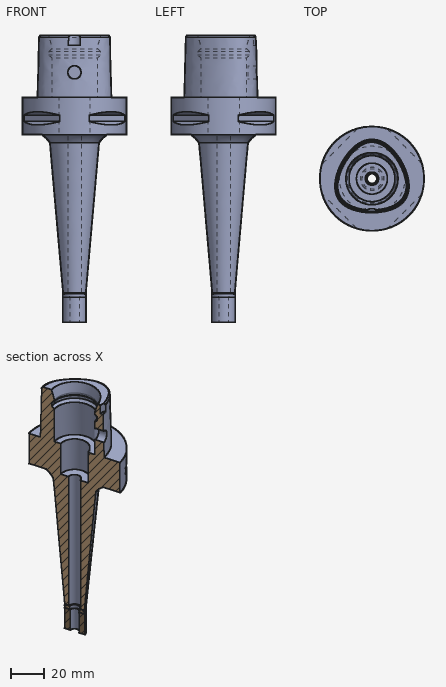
import cadquery as cq
import math

TOTAL_HEIGHT = 173.0
FLANGE_TOP_Z = 135.5
FLANGE_BOTTOM_Z = 113.0
STEM_BOTTOM_Z = 17.6
COLLAR_TOP_Z = 17.1
TIP_TOP_Z = 15.0

SHANK_BASE_RADIUS = 22.1
SHANK_TAPER = 1 / 40
LOBE_HEIGHT = 1.5
PROFILE_POINTS = 24
RIM_CHAMFER_HEIGHT = 1.4
RIM_CHAMFER_WIDTH = 0.9

FLANGE_RADIUS = 31.5
NECK_HEIGHT = 4.8
NECK_TOP_RADIUS = 19.7
NECK_SAG = 0.3
STEM_TOP_RADIUS = 14.9
STEM_BOTTOM_RADIUS = 7.0

SLOT_COUNT = 4
SLOT_Z = 122.8
SLOT_FLOOR_DISTANCE = 27.7
SLOT_FLOOR_HEIGHT = 3.8
SLOT_MOUTH_HEIGHT = 8.0

MOUTH_RADIUS = 15.7
BORE_RADIUS = 13.8
MOUTH_DEPTH = 6.5
LIP_DEPTH = 8.1
GROOVE_RADIUS = 15.5
GROOVE_DEPTH = 12.0
THREAD_RADIUS = 9.3
COOLANT_RADIUS = 4.0

NOTCH_RADIUS = 4.8
NOTCH_DEPTH = 6.0
NOTCH_CENTRE_Y = -22.8
SIDE_HOLE_RADIUS = 4.0
SIDE_HOLE_Z = 150.5
SIDE_HOLE_FLOOR_Y = -14.5

COLLAR_RADIUS = 7.1
TIP_RADIUS = COLLAR_RADIUS
COLLAR_NECK_RADIUS = 6.0
COLLAR_HOLE_RADIUS = 3.3
TIP_HOLE_RADIUS = 3.0


def lobed_wire(mean_radius, z):
    """Closed three-lobed curve (a trochoid) with one lobe on +Y and one flat side on -Y."""

    def point(angle):
        x = mean_radius * math.sin(angle) + LOBE_HEIGHT * math.sin(2 * angle)
        y = LOBE_HEIGHT * math.cos(2 * angle) - mean_radius * math.cos(angle)
        return cq.Vector(x, y, z)

    points = [point(2 * math.pi * i / PROFILE_POINTS) for i in range(PROFILE_POINTS)]
    return cq.Wire.assembleEdges([cq.Edge.makeSpline(points, periodic=True)])


def polygon_shank():
    chamfer_z = TOTAL_HEIGHT - RIM_CHAMFER_HEIGHT
    chamfer_radius = SHANK_BASE_RADIUS - SHANK_TAPER * (chamfer_z - FLANGE_TOP_Z)
    rim_radius = chamfer_radius - RIM_CHAMFER_WIDTH
    base = lobed_wire(SHANK_BASE_RADIUS, FLANGE_TOP_Z)
    shoulder = lobed_wire(chamfer_radius, chamfer_z)
    rim = lobed_wire(rim_radius, TOTAL_HEIGHT)
    cone = cq.Solid.makeLoft([base, shoulder], True)
    chamfer = cq.Solid.makeLoft([shoulder, rim], True)
    return cq.Workplane(cone).union(cq.Workplane(chamfer))


def flange_and_stem():
    neck_z = FLANGE_BOTTOM_Z - NECK_HEIGHT
    neck_start = (STEM_TOP_RADIUS, neck_z)
    neck_end = (NECK_TOP_RADIUS, FLANGE_BOTTOM_Z)
    return (
        cq.Workplane("XZ")
        .moveTo(0, STEM_BOTTOM_Z)
        .lineTo(STEM_BOTTOM_RADIUS, STEM_BOTTOM_Z)
        .lineTo(*neck_start)
        .sagittaArc(neck_end, NECK_SAG)
        .lineTo(FLANGE_RADIUS, FLANGE_BOTTOM_Z)
        .lineTo(FLANGE_RADIUS, FLANGE_TOP_Z)
        .lineTo(0, FLANGE_TOP_Z)
        .close()
        .revolve(360, (0, 0, 0), (0, 1, 0))
    )


def bore():
    """Mouth cone, lip, undercut groove, thread hole and coolant hole, all on the Z axis."""
    groove_cone = GROOVE_RADIUS - BORE_RADIUS
    profile = [
        (0, TOTAL_HEIGHT),
        (MOUTH_RADIUS, TOTAL_HEIGHT),
        (BORE_RADIUS, TOTAL_HEIGHT - MOUTH_DEPTH),
        (BORE_RADIUS, TOTAL_HEIGHT - LIP_DEPTH),
        (GROOVE_RADIUS, TOTAL_HEIGHT - LIP_DEPTH - groove_cone),
        (GROOVE_RADIUS, TOTAL_HEIGHT - GROOVE_DEPTH),
        (BORE_RADIUS, TOTAL_HEIGHT - GROOVE_DEPTH - groove_cone),
        (BORE_RADIUS, FLANGE_TOP_Z),
        (THREAD_RADIUS, FLANGE_TOP_Z),
        (THREAD_RADIUS, FLANGE_BOTTOM_Z),
        (COOLANT_RADIUS, FLANGE_BOTTOM_Z),
        (COOLANT_RADIUS, STEM_BOTTOM_Z),
        (0, STEM_BOTTOM_Z),
    ]
    return cq.Workplane("XZ").polyline(profile).close().revolve(360, (0, 0, 0), (0, 1, 0))


def gripper_slot(angle):
    """Trapezoidal slot with a flat floor, cut across the flange rim."""
    floor = SLOT_FLOOR_HEIGHT / 2
    mouth = SLOT_MOUTH_HEIGHT / 2
    return (
        cq.Workplane("XZ")
        .polyline([
            (SLOT_FLOOR_DISTANCE, SLOT_Z - floor),
            (FLANGE_RADIUS, SLOT_Z - mouth),
            (FLANGE_RADIUS, SLOT_Z + mouth),
            (SLOT_FLOOR_DISTANCE, SLOT_Z + floor),
        ])
        .close()
        .extrude(FLANGE_RADIUS, both=True)
        .rotate((0, 0, 0), (0, 0, 1), angle)
    )


def key_notch():
    return (
        cq.Workplane("XY")
        .workplane(offset=TOTAL_HEIGHT - NOTCH_DEPTH)
        .center(0, NOTCH_CENTRE_Y)
        .circle(NOTCH_RADIUS)
        .extrude(NOTCH_DEPTH)
    )


def side_hole():
    return (
        cq.Workplane("XZ")
        .workplane(offset=-SIDE_HOLE_FLOOR_Y)
        .center(0, SIDE_HOLE_Z)
        .circle(SIDE_HOLE_RADIUS)
        .extrude(SHANK_BASE_RADIUS + SIDE_HOLE_FLOOR_Y)
    )


def make_holder():
    body = polygon_shank().union(flange_and_stem())
    body = body.cut(bore()).cut(key_notch()).cut(side_hole())
    for i in range(SLOT_COUNT):
        body = body.cut(gripper_slot((i + 0.5) * 360 / SLOT_COUNT))
    return body


def make_collar():
    """Ring above the tip, with a narrower neck that meets the end of the stem."""
    return (
        cq.Workplane("XY")
        .workplane(offset=TIP_TOP_Z)
        .circle(COLLAR_RADIUS)
        .extrude(COLLAR_TOP_Z - TIP_TOP_Z)
        .faces(">Z")
        .workplane()
        .circle(COLLAR_NECK_RADIUS)
        .extrude(STEM_BOTTOM_Z - COLLAR_TOP_Z)
        .faces(">Z")
        .workplane()
        .circle(COLLAR_HOLE_RADIUS)
        .cutThruAll()
    )


def make_tip():
    return cq.Workplane("XY").circle(TIP_RADIUS).circle(TIP_HOLE_RADIUS).extrude(TIP_TOP_Z)


holder = make_holder()
collar = make_collar()
tip = make_tip()

result = cq.Compound.makeCompound([holder.val(), collar.val(), tip.val()])